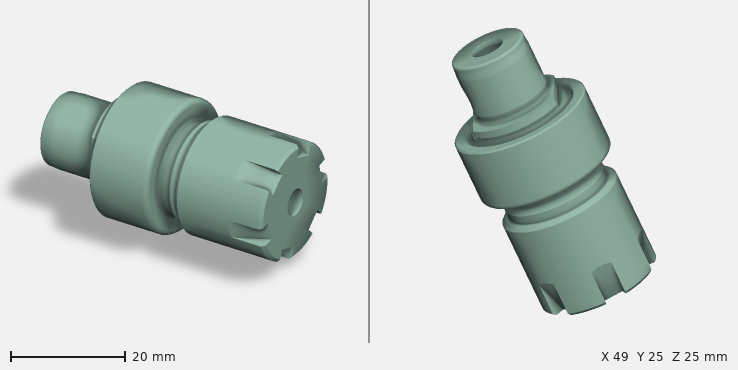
import cadquery as cq
import math


total_length = 49.0
undercut_start = 9.9
undercut_floor_start = 10.8
undercut_floor_end = 10.95
flange_start = 11.5
flange_chamfer_start = 12.85
flange_chamfer_end = 13.48
flat_end = 13.75
collar_start = 13.95
collar_end = 26.0
neck_end = 28.2
seat_start = 28.95
nut_start = 30.62
slot_start = 41.9

shank_radius = 7.0
shank_lead_radius = 6.85
shank_face_fillet = 0.45
lead_length = 1.1
lead_taper_end = 2.4
undercut_radius = 6.7
undercut_edge_radius = 7.2

groove_center_x = 7.1
groove_width = 6.1
groove_depth = 0.6

flange_radius = 9.35
flange_root_radius = 9.0
flat_distance = 7.75

collar_radius = 12.5
collar_front_chamfer = 0.3
collar_rear_fillet = 1.05
recess_mouth_radius = 10.45
recess_floor_radius = 9.85
recess_fillet = recess_floor_radius - flange_root_radius
recess_floor_x = flat_end + recess_fillet

neck_radius = 8.7
neck_fillet = 0.6
neck_rise_radius = 8.85
seat_radius = 9.5

bore_radius = 2.55
bore_mouth_radius = 3.1
bore_countersink_depth = 0.7

nut_radius = 11.0
nut_chamfer = 0.8
nut_front_chamfer = 0.6

slot_count = 6
slot_width = 3.9
slot_angle = 20.0
first_slot_angle = 13.0


def revolve_about_x(profile):
    return profile.close().revolve(360, (0, 0, 0), (1, 0, 0))


def bore_cutter():
    return revolve_about_x(
        cq.Workplane("XY")
        .lineTo(0, bore_mouth_radius)
        .lineTo(bore_countersink_depth, bore_radius)
        .lineTo(total_length, bore_radius)
        .lineTo(total_length, 0)
    )


def make_holder_blank():
    fillet_drop = 1 - math.sqrt(0.5)
    face_radius = shank_lead_radius - shank_face_fillet
    neck_edge_radius = neck_radius + neck_fillet
    return revolve_about_x(
        cq.Workplane("XY")
        .lineTo(0, face_radius)
        .threePointArc(
            (fillet_drop * shank_face_fillet, shank_lead_radius - fillet_drop * shank_face_fillet),
            (shank_face_fillet, shank_lead_radius),
        )
        .lineTo(lead_length, shank_lead_radius)
        .lineTo(lead_taper_end, shank_radius)
        .lineTo(undercut_start, shank_radius)
        .lineTo(undercut_floor_start, undercut_radius)
        .lineTo(undercut_floor_end, undercut_radius)
        .tangentArcPoint((flange_start, undercut_edge_radius), relative=False)
        .lineTo(flange_start, flange_radius)
        .lineTo(flange_chamfer_start, flange_radius)
        .lineTo(flange_chamfer_end, flange_root_radius)
        .lineTo(flat_end, flange_root_radius)
        .tangentArcPoint((recess_floor_x, recess_floor_radius), relative=False)
        .lineTo(collar_start, recess_mouth_radius)
        .lineTo(collar_start, collar_radius - collar_front_chamfer)
        .lineTo(collar_start + collar_front_chamfer, collar_radius)
        .lineTo(collar_end - collar_rear_fillet, collar_radius)
        .tangentArcPoint((collar_end, collar_radius - collar_rear_fillet), relative=False)
        .lineTo(collar_end, neck_edge_radius)
        .threePointArc(
            (collar_end + fillet_drop * neck_fillet, neck_radius + fillet_drop * neck_fillet),
            (collar_end + neck_fillet, neck_radius),
        )
        .lineTo(neck_end - (seat_start - neck_end) / 2, neck_radius)
        .tangentArcPoint((neck_end, neck_rise_radius), relative=False)
        .lineTo(seat_start, seat_radius)
        .lineTo(slot_start, seat_radius)
        .lineTo(slot_start, 0)
    )


def wrench_flats_cutter():
    length = flat_end - flange_start
    flat_cut = flange_radius - flat_distance
    return (
        cq.Workplane("XY")
        .pushPoints([(0, side * (flat_distance + flat_cut / 2)) for side in (-1, 1)])
        .box(length, flat_cut, 2 * flange_radius)
        .translate((flange_start + length / 2, 0, 0))
    )


def clamping_groove_cutter():
    half_width = groove_width / 2
    return (
        cq.Workplane("XY")
        .moveTo(groove_center_x - half_width, shank_radius)
        .threePointArc(
            (groove_center_x, shank_radius - groove_depth),
            (groove_center_x + half_width, shank_radius),
        )
        .close()
        .extrude(shank_radius, both=True)
    )


def make_holder():
    return (
        make_holder_blank()
        .cut(wrench_flats_cutter())
        .cut(clamping_groove_cutter())
        .cut(bore_cutter())
    )


def wrench_slot_cutter(angle):
    """Slot on the -Y side with a floor that slopes inward to the open end, turned about X."""
    length = total_length - slot_start
    end_depth = length * math.tan(math.radians(slot_angle))
    return (
        cq.Workplane("XY")
        .moveTo(slot_start, -nut_radius)
        .lineTo(total_length, -nut_radius)
        .lineTo(total_length, end_depth - nut_radius)
        .close()
        .extrude(slot_width / 2, both=True)
        .rotate((0, 0, 0), (1, 0, 0), angle)
    )


def make_nut():
    nut = revolve_about_x(
        cq.Workplane("XY")
        .moveTo(nut_start, seat_radius)
        .lineTo(nut_start, nut_radius - nut_chamfer)
        .lineTo(nut_start + nut_chamfer, nut_radius)
        .lineTo(total_length - nut_front_chamfer, nut_radius)
        .lineTo(total_length, nut_radius - nut_front_chamfer)
        .lineTo(total_length, bore_radius)
        .lineTo(slot_start, bore_radius)
        .lineTo(slot_start, seat_radius)
    )
    for index in range(slot_count):
        nut = nut.cut(wrench_slot_cutter(first_slot_angle + index * 360 / slot_count))
    return nut


holder = make_holder()
nut = make_nut()

result = cq.Compound.makeCompound([holder.val(), nut.val()])